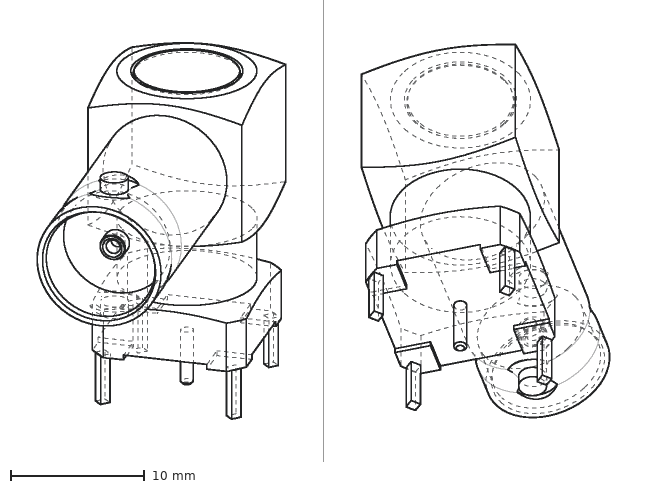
import cadquery as cq
import math


block_size = 12.0
block_half = block_size / 2
block_bevel_angle = 21.0
cap_groove_outer_radius = 4.2
cap_groove_floor_radius = 4.02
cap_groove_inner_radius = 3.95
cap_groove_depth = 0.18

neck_radius = 5.25
neck_length = 4.85
base_top_z = -block_half - neck_length
base_height = 4.6
base_bottom_z = base_top_z - base_height
base_corner_radius = 7.68
base_bevel_angle = 15.0
underside_slot_width = 6.48
underside_slot_depth = 0.4

leg_length = 4.0
leg_bottom_z = base_bottom_z - leg_length
leg_width = 0.8
leg_outer_radius = 7.62
signal_pin_radius = 0.48
signal_pin_chamfer = 0.18

overall_length = 30.0
tube_end_y = block_half - overall_length
tube_radius = 4.83
bore_mouth_radius = 4.4
bore_lead_radius = 4.23
bore_lead_depth = 0.42
bore_floor_radius = 4.15
bore_depth = 4.83
bore_floor_y = tube_end_y + bore_depth

lug_y = tube_end_y + 4.17
lug_radius = 1.05
lug_tip_height = 5.52
groove_half_width = 1.32
groove_depth = 0.15
flat_height = 4.55
flat_radius = 2.0
flat_rim_radius = 2.2

contact_radius = 1.0
contact_tip_radius = 0.93
contact_tip_length = 0.12
contact_length = 1.2
contact_tip_y = bore_floor_y - contact_length
socket_mouth_radius = 0.75
socket_radius = 0.55
socket_lead_depth = 0.25
socket_depth = 1.5


def turned_about_z(points):
    """Solid of revolution about Z from (radius, z) points."""
    return cq.Workplane("XZ").polyline(points).close().revolve(360, (0, 0, 0), (0, 1, 0))


def turned_about_y(points):
    """Solid of revolution about the tube axis from (radius, y) points."""
    return cq.Workplane("XY").polyline(points).close().revolve(360, (0, 0, 0), (0, 1, 0))


def bevel_drop(angle, radius):
    """Fall of a conical bevel between the neck radius and the given radius."""
    return (radius - neck_radius) * math.tan(math.radians(angle))


def make_block():
    corner_radius = math.hypot(block_half, block_half)
    corner_z = block_half - bevel_drop(block_bevel_angle, corner_radius)
    envelope = turned_about_z([
        (0, -block_half),
        (neck_radius, -block_half),
        (corner_radius, -corner_z),
        (corner_radius, corner_z),
        (neck_radius, block_half),
        (0, block_half),
    ])
    cap_groove = turned_about_z([
        (cap_groove_inner_radius, block_half),
        (cap_groove_outer_radius, block_half),
        (cap_groove_floor_radius, block_half - cap_groove_depth),
    ])
    return cq.Workplane("XY").box(block_size, block_size, block_size).intersect(envelope).cut(cap_groove)


def make_base():
    rim_z = base_top_z - bevel_drop(base_bevel_angle, base_corner_radius)
    envelope = turned_about_z([
        (0, base_bottom_z),
        (base_corner_radius, base_bottom_z),
        (base_corner_radius, rim_z),
        (neck_radius, base_top_z),
        (0, base_top_z),
    ])
    base = (
        cq.Workplane("XY")
        .workplane(offset=base_bottom_z)
        .rect(block_size, block_size)
        .extrude(base_height)
        .intersect(envelope)
    )
    for slot_size in ((underside_slot_width, block_size), (block_size, underside_slot_width)):
        slot = (
            cq.Workplane("XY")
            .workplane(offset=base_bottom_z)
            .rect(*slot_size)
            .extrude(underside_slot_depth)
        )
        base = base.cut(slot)
    return base


def make_neck():
    return cq.Workplane("XY").workplane(offset=base_top_z).circle(neck_radius).extrude(neck_length)


def make_legs():
    """Square corner legs whose outer faces are rounded about the neck axis."""
    outer_cylinder = (
        cq.Workplane("XY")
        .workplane(offset=leg_bottom_z)
        .circle(leg_outer_radius)
        .extrude(leg_length)
    )
    bars = (
        cq.Workplane("XY")
        .workplane(offset=leg_bottom_z)
        .transformed(rotate=(0, 0, 45))
        .polarArray(leg_outer_radius, 0, 360, 4)
        .rect(2 * leg_width, leg_width)
        .extrude(leg_length)
    )
    return bars.intersect(outer_cylinder)


def make_signal_pin():
    pin_length = leg_length + underside_slot_depth
    return (
        cq.Workplane("XY")
        .workplane(offset=leg_bottom_z)
        .circle(signal_pin_radius)
        .extrude(pin_length)
        .faces("<Z")
        .chamfer(signal_pin_chamfer)
    )


def make_tube():
    tube = (
        cq.Workplane("XY")
        .moveTo(0, 0)
        .lineTo(tube_radius, 0)
        .lineTo(tube_radius, lug_y + groove_half_width)
        .threePointArc(
            (tube_radius - groove_depth, lug_y),
            (tube_radius, lug_y - groove_half_width),
        )
        .lineTo(tube_radius, tube_end_y)
        .lineTo(0, tube_end_y)
        .close()
        .revolve(360, (0, 0, 0), (0, 1, 0))
    )
    return cut_lug_flats(tube)


def cut_lug_flats(tube):
    """Cut a shallow conical spot face under each lug, above and below the tube."""
    spot_face = (
        cq.Workplane("XY", origin=(0, lug_y, flat_height))
        .circle(flat_radius)
        .workplane(offset=tube_radius - flat_height)
        .circle(flat_rim_radius)
        .loft(ruled=True)
    )
    return tube.cut(spot_face).cut(spot_face.mirror("XY"))


def make_lugs():
    return (
        cq.Workplane("XY", origin=(0, lug_y, -lug_tip_height))
        .circle(lug_radius)
        .extrude(2 * lug_tip_height)
    )


def make_bore():
    return turned_about_y([
        (0, tube_end_y),
        (bore_mouth_radius, tube_end_y),
        (bore_lead_radius, tube_end_y + bore_lead_depth),
        (bore_floor_radius, bore_floor_y),
        (0, bore_floor_y),
    ])


def make_contact():
    return turned_about_y([
        (0, bore_floor_y),
        (contact_radius, bore_floor_y),
        (contact_radius, contact_tip_y + contact_tip_length),
        (contact_tip_radius, contact_tip_y),
        (0, contact_tip_y),
    ])


def make_socket():
    """Blind hole with a tapered lead-in, running down the contact."""
    return turned_about_y([
        (0, contact_tip_y),
        (socket_mouth_radius, contact_tip_y),
        (socket_radius, contact_tip_y + socket_lead_depth),
        (socket_radius, contact_tip_y + socket_depth),
        (0, contact_tip_y + socket_depth),
    ])


result = (
    make_tube()
    .union(make_lugs())
    .cut(make_bore())
    .union(make_contact())
    .cut(make_socket())
    .union(make_block())
    .union(make_neck())
    .union(make_base())
    .union(make_legs())
    .union(make_signal_pin())
)